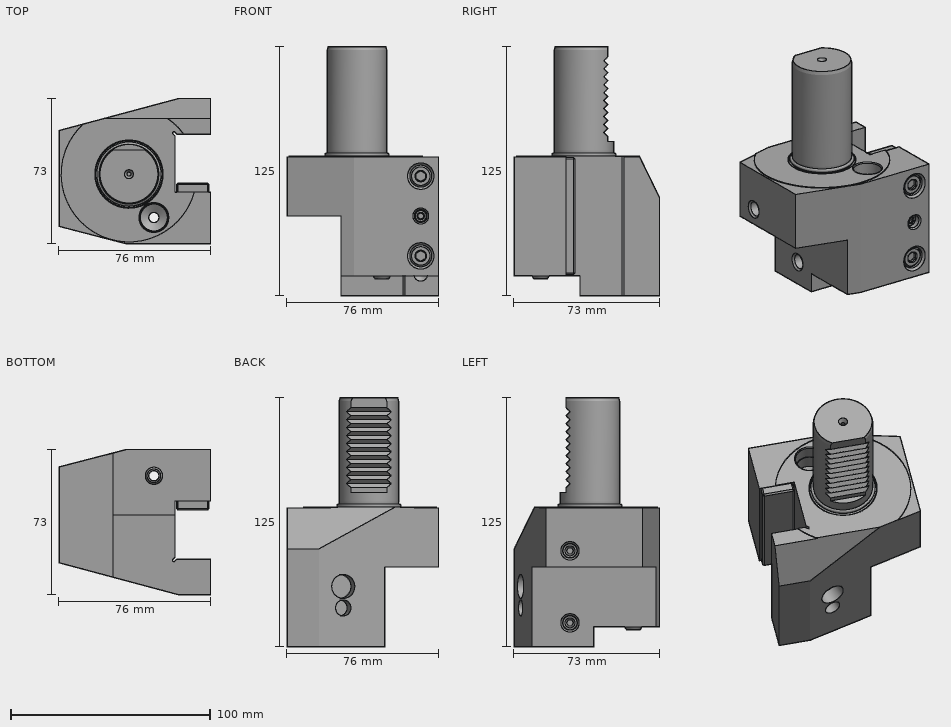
import cadquery as cq
import math


LEFT_X = -35.0
RIGHT_X = 41.0
FRONT_Y = -35.0
BACK_Y = 38.0
SEAT_STEP = 0.4
UPPER_BOTTOM_Z = -30.0
BODY_BOTTOM_Z = -60.0
LEG_BOTTOM_Z = -70.0
LOWER_LEFT_X = -8.0
LEG_FRONT_Y = -2.0
FRONT_TAPER_X = -1.2
FRONT_TAPER_LEFT_Y = -26.2
BACK_TAPER_X = 25.0
BACK_TAPER_ANGLE = 15.0
BACK_BEVEL_RUN = 10.0
BACK_BEVEL_DROP = 20.5
SEAT_RADIUS = 34.0
CUT_MARGIN = 1.2

SLOT_LEFT_X = 23.1
SLOT_FRONT_Y = -9.0
SLOT_BACK_Y = 20.0
RELIEF_WIDTH = 1.2
RELIEF_REACH = 0.9
PLATE_LENGTH = 16.2
PLATE_THICKNESS = 4.5
PLATE_HEIGHT = 58.8
PLATE_CHAMFER = 0.8
CLAMP_X = 32.0
CLAMP_MID_Z = -30.0
CLAMP_PITCH = 20.0
DIMPLE_DIAMETER = 6.9
DIMPLE_DEPTH = 2.5
DIMPLE_Z = -59.2

SHANK_RADIUS = 15.0
SHANK_HEIGHT = 55.0
SHANK_FOOT_RADIUS = 14.8
SHANK_FOOT_TOP_Z = 2.6
SHANK_CHAMFER = 0.5
SHANK_CHAMFER_HEIGHT = 1.9
FLAT_Y = 12.0
FLAT_BOTTOM_Z = 7.4
TOOTH_COUNT = 10
TOOTH_PITCH = 4.0
TOOTH_DEPTH = 2.0
FIRST_TOOTH_Z = 11.9
CENTRE_MOUTH_DIAMETER = 4.5
CENTRE_DRILL_DIAMETER = 2.0
CENTRE_CONE_DEPTH = 2.1
CENTRE_DEPTH = 4.5

GROOVE_RADIUS = 16.8
GROOVE_MOUTH_RADIUS = 17.1
GROOVE_DEPTH = 1.2
RING_CENTRE_RADIUS = 15.1
RING_CENTRE_Z = 0.6
RING_SECTION_RADIUS = 1.0

COOLANT_X = 12.5
COOLANT_Y = -21.8
COOLANT_MOUTH_DIAMETER = 15.0
COOLANT_ENTRY_DIAMETER = 14.0
COOLANT_ENTRY_DEPTH = 7.5
COOLANT_BORE_DIAMETER = 13.5
COOLANT_BORE_DEPTH = 15.0
COOLANT_CONE_DEPTH = 2.5
COOLANT_PASSAGE_DIAMETER = 5.0
NOZZLE_BALL_RADIUS = 4.6
NOZZLE_BALL_Z = -58.4
NOZZLE_TIP_Z = -61.5

TAPER_HOLE_Y = 34.8
TAPER_HOLE_DEPTH = 7.5
TAPER_HOLES = [(-39.8, 12.0), (-50.5, 8.0)]

SIDE_SCREW_Y = 10.0
UPPER_SIDE_SCREW_Z = -21.9
LOWER_SIDE_SCREW_Z = -58.0


def box(x_range, y_range, z_range):
    size = [high - low for low, high in (x_range, y_range, z_range)]
    corner = (x_range[0], y_range[0], z_range[0])
    return cq.Workplane("XY").box(*size, centered=False).translate(corner)


def revolve_about_z(points):
    """Turn an outline of (radius, height) points about the Z axis."""
    return cq.Workplane("XZ").polyline(points).close().revolve(360, (0, 0, 0), (0, 1, 0))


def make_body():
    taper_rise = (BACK_TAPER_X - LEFT_X) * math.tan(math.radians(BACK_TAPER_ANGLE))
    outline = [
        (LEFT_X, FRONT_TAPER_LEFT_Y),
        (FRONT_TAPER_X, FRONT_Y),
        (RIGHT_X, FRONT_Y),
        (RIGHT_X, BACK_Y),
        (BACK_TAPER_X, BACK_Y),
        (LEFT_X, BACK_Y - taper_rise),
    ]
    prism = cq.Workplane("XY").workplane(offset=LEG_BOTTOM_Z).polyline(outline).close().extrude(-LEG_BOTTOM_Z)
    all_y = (FRONT_Y - CUT_MARGIN, BACK_Y + CUT_MARGIN)
    all_x = (LEFT_X - CUT_MARGIN, RIGHT_X + CUT_MARGIN)
    below = LEG_BOTTOM_Z - CUT_MARGIN

    top_layer = box(all_x, all_y, (-SEAT_STEP, CUT_MARGIN))
    seat = cq.Workplane("XY").circle(SEAT_RADIUS).extrude(2 * CUT_MARGIN, both=True)
    body = prism.cut(top_layer.cut(seat))
    body = body.cut(box((all_x[0], LOWER_LEFT_X), all_y, (below, UPPER_BOTTOM_Z)))
    body = body.cut(box(all_x, (all_y[0], LEG_FRONT_Y), (below, BODY_BOTTOM_Z)))

    slope = BACK_BEVEL_DROP / BACK_BEVEL_RUN
    bevel_y = BACK_Y - BACK_BEVEL_RUN
    bevel = (
        cq.Workplane("YZ")
        .workplane(offset=all_x[0])
        .moveTo(bevel_y - CUT_MARGIN, slope * CUT_MARGIN - SEAT_STEP)
        .lineTo(all_y[1], -BACK_BEVEL_DROP - slope * CUT_MARGIN - SEAT_STEP)
        .lineTo(all_y[1], slope * CUT_MARGIN - SEAT_STEP)
        .close()
        .extrude(all_x[1] - all_x[0])
    )
    return body.cut(bevel)


def make_slot():
    z_range = (LEG_BOTTOM_Z - CUT_MARGIN, CUT_MARGIN)
    slot = box((SLOT_LEFT_X, RIGHT_X + CUT_MARGIN), (SLOT_FRONT_Y, SLOT_BACK_Y), z_range)
    relief = (
        cq.Workplane("XY")
        .slot2D(2 * RELIEF_REACH + RELIEF_WIDTH, RELIEF_WIDTH, 135)
        .extrude(z_range[1] - z_range[0])
        .translate((SLOT_LEFT_X, SLOT_BACK_Y, z_range[0]))
    )
    return slot.union(relief)


def make_plate():
    return (
        cq.Workplane("XY")
        .box(PLATE_LENGTH, PLATE_THICKNESS, PLATE_HEIGHT)
        .edges(">Y or |Y")
        .chamfer(PLATE_CHAMFER)
        .translate((CLAMP_X, SLOT_FRONT_Y + PLATE_THICKNESS / 2, CLAMP_MID_Z))
    )


def make_shank():
    shank = revolve_about_z([
        (0, -GROOVE_DEPTH),
        (SHANK_RADIUS, -GROOVE_DEPTH),
        (SHANK_RADIUS, 0),
        (SHANK_FOOT_RADIUS, 0),
        (SHANK_RADIUS, SHANK_FOOT_TOP_Z),
        (SHANK_RADIUS, SHANK_HEIGHT - SHANK_CHAMFER_HEIGHT),
        (SHANK_RADIUS - SHANK_CHAMFER, SHANK_HEIGHT),
        (0, SHANK_HEIGHT),
    ])
    across = (-SHANK_RADIUS - CUT_MARGIN, SHANK_RADIUS + CUT_MARGIN)
    shank = shank.cut(box(across, (FLAT_Y, across[1]), (FLAT_BOTTOM_Z, SHANK_HEIGHT + CUT_MARGIN)))
    notch = (
        cq.Workplane("YZ")
        .workplane(offset=across[0])
        .moveTo(FLAT_Y - TOOTH_DEPTH, 0)
        .lineTo(FLAT_Y, -TOOTH_DEPTH)
        .lineTo(FLAT_Y, TOOTH_DEPTH)
        .close()
        .extrude(across[1] - across[0])
    )
    for index in range(TOOTH_COUNT):
        shank = shank.cut(notch.translate((0, 0, FIRST_TOOTH_Z + index * TOOTH_PITCH)))

    centre_drill = revolve_about_z([
        (0, 0),
        (CENTRE_MOUTH_DIAMETER / 2, 0),
        (CENTRE_DRILL_DIAMETER / 2, -CENTRE_CONE_DEPTH),
        (CENTRE_DRILL_DIAMETER / 2, -CENTRE_DEPTH),
        (0, -CENTRE_DEPTH),
    ])
    return shank.cut(centre_drill.translate((0, 0, SHANK_HEIGHT)))


def make_seal_groove():
    return revolve_about_z([
        (SHANK_RADIUS, 0),
        (GROOVE_MOUTH_RADIUS, 0),
        (GROOVE_RADIUS, GROOVE_RADIUS - GROOVE_MOUTH_RADIUS),
        (GROOVE_RADIUS, -GROOVE_DEPTH),
        (SHANK_RADIUS, -GROOVE_DEPTH),
    ])


def make_seal_ring():
    return (
        cq.Workplane("XZ")
        .center(-RING_CENTRE_RADIUS, RING_CENTRE_Z)
        .circle(RING_SECTION_RADIUS)
        .revolve(360, (RING_CENTRE_RADIUS, 0, 0), (RING_CENTRE_RADIUS, 1, 0))
    )


def make_nozzle():
    ball = cq.Workplane("XY").sphere(NOZZLE_BALL_RADIUS)
    reach = NOZZLE_BALL_RADIUS
    kept = box((-reach, reach), (-reach, reach), (NOZZLE_TIP_Z - NOZZLE_BALL_Z, reach))
    return ball.intersect(kept).translate((COOLANT_X, COOLANT_Y, NOZZLE_BALL_Z))


def make_coolant_bore():
    mouth_radius = COOLANT_MOUTH_DIAMETER / 2
    entry_radius = COOLANT_ENTRY_DIAMETER / 2
    bore_radius = COOLANT_BORE_DIAMETER / 2
    passage_radius = COOLANT_PASSAGE_DIAMETER / 2
    return revolve_about_z([
        (0, 0),
        (mouth_radius, 0),
        (entry_radius, entry_radius - mouth_radius),
        (entry_radius, -COOLANT_ENTRY_DEPTH),
        (bore_radius, -COOLANT_ENTRY_DEPTH),
        (bore_radius, -COOLANT_BORE_DEPTH),
        (passage_radius, -COOLANT_BORE_DEPTH - COOLANT_CONE_DEPTH),
        (passage_radius, LEG_BOTTOM_Z),
        (0, LEG_BOTTOM_Z),
    ]).translate((COOLANT_X, COOLANT_Y, 0))


def screw_recess(mouth, bore, head_depth, head_flat, socket_mouth, hex_size, hex_depth):
    """Space above a sunk set screw, opening at the origin and going down along Z.

    A countersunk bore ends on the screw's bevelled head, which has a hex socket.
    mouth, bore, head_flat and socket_mouth are diameters; hex_size is across flats.
    """
    mouth_chamfer = (mouth - bore) / 2
    head_bevel = (bore - head_flat) / 2
    hex_corners = hex_size / math.cos(math.radians(30))
    socket_chamfer = (socket_mouth - hex_size) / 2
    space = revolve_about_z([
        (0, 0),
        (mouth / 2, 0),
        (bore / 2, -mouth_chamfer),
        (bore / 2, -head_depth - head_bevel),
        (head_flat / 2, -head_depth),
        (socket_mouth / 2, -head_depth),
        (hex_size / 2, -head_depth - socket_chamfer),
        (0, -head_depth - socket_chamfer),
    ])
    socket = (
        cq.Workplane("XY")
        .workplane(offset=-head_depth)
        .polygon(6, hex_corners)
        .extrude(-hex_depth)
        .rotate((0, 0, 0), (0, 0, 1), 30)
    )
    return space.union(socket)


def make_clamp_screws():
    large = screw_recess(
        mouth=13.2, bore=11.0, head_depth=1.8, head_flat=9.2, socket_mouth=5.8, hex_size=4.6, hex_depth=1.8
    )
    small = screw_recess(
        mouth=8.0, bore=6.5, head_depth=3.0, head_flat=5.5, socket_mouth=3.8, hex_size=2.8, hex_depth=2.0
    )
    cutters = cq.Workplane("XY")
    for row, recess in ((-1, large), (0, small), (1, large)):
        place = (CLAMP_X, FRONT_Y, CLAMP_MID_Z + row * CLAMP_PITCH)
        cutters = cutters.add(recess.rotate((0, 0, 0), (1, 0, 0), 90).translate(place))
    return cutters.combine()


def make_side_screws():
    recess = screw_recess(
        mouth=9.2, bore=7.4, head_depth=7.5, head_flat=7.0, socket_mouth=5.0, hex_size=3.0, hex_depth=2.5
    ).rotate((0, 0, 0), (0, 1, 0), -90)
    upper = recess.translate((LEFT_X, SIDE_SCREW_Y, UPPER_SIDE_SCREW_Z))
    lower = recess.translate((LOWER_LEFT_X, SIDE_SCREW_Y, LOWER_SIDE_SCREW_Z))
    return upper.add(lower).combine()


def make_taper_holes():
    angle = math.radians(BACK_TAPER_ANGLE)
    hole_x = BACK_TAPER_X - (BACK_Y - TAPER_HOLE_Y) / math.tan(angle)
    inward = cq.Vector(math.sin(angle), -math.cos(angle), 0)
    cutters = cq.Workplane("XY")
    for hole_z, diameter in TAPER_HOLES:
        start = cq.Vector(hole_x, TAPER_HOLE_Y, hole_z)
        cutters = cutters.add(cq.Solid.makeCylinder(diameter / 2, TAPER_HOLE_DEPTH, start, inward))
    return cutters.combine()


def make_dimple():
    """Conical dimple in the slot's back wall, pointing toward +Y."""
    start = cq.Vector(CLAMP_X, SLOT_BACK_Y, DIMPLE_Z)
    return cq.Workplane(cq.Solid.makeCone(DIMPLE_DIAMETER / 2, 0, DIMPLE_DEPTH, start, cq.Vector(0, 1, 0)))


holder = make_body().cut(make_slot()).cut(make_seal_groove())
holder = holder.union(make_shank()).union(make_seal_ring())
holder = holder.union(make_plate()).union(make_nozzle())
for cutter in (
    make_coolant_bore(),
    make_clamp_screws(),
    make_side_screws(),
    make_taper_holes(),
    make_dimple(),
):
    holder = holder.cut(cutter)

result = holder